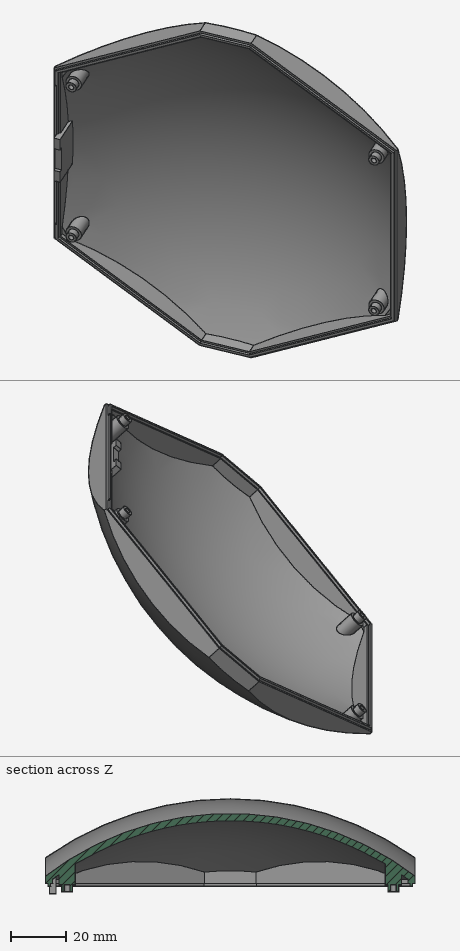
import cadquery as cq
import math

half_width = 66.7
half_height = 71.2

overall_depth = 34.3
dome_top = 31.6
dome_radius = 115.0
dome_thickness = 2.5
wall_thickness = 2.5
rim_y = 1.0
ledge_y = 2.5

lip_outer_inset = 0.9
lip_inner_inset = 1.9
lip_relief_inset = 1.3
lip_relief_half_length = 31.3

post_x = 58.8
post_z = 34.0
post_diameter = 6.0
pin_diameter = 4.0
pin_bore_diameter = 2.0
pin_tip_y = -2.0
post_shoulder_y = 0.5

tab_tip_y = dome_top - overall_depth
tab_notch_y = -1.4
tab_half_length = 9.7
notch_half_length = 4.92
tab_outer_inset = 1.4
tab_inner_inset = 3.8


def prism(inset, y_start, y_end):
    """Trimmed hexagon, inset from the outline, between two Y planes."""
    x = half_width - inset
    z = half_height - inset
    side_z = x * math.tan(math.radians(30))
    corner_z = x / math.cos(math.radians(30))
    trim_x = (corner_z - z) * math.tan(math.radians(60))
    points = [
        (x, -side_z), (x, side_z), (trim_x, z), (-trim_x, z),
        (-x, side_z), (-x, -side_z), (-trim_x, -z), (trim_x, -z),
    ]
    return cq.Workplane("XZ", origin=(0, y_start, 0)).polyline(points).close().extrude(y_start - y_end)


def dome_ball(offset):
    """Ball bounding the dome, shrunk by offset."""
    return cq.Workplane("XY").sphere(dome_radius - offset).translate((0, dome_top - dome_radius, 0))


def box(x_range, y_range, z_half):
    """Box between X and Y limits, centred on z = 0."""
    x_size = x_range[1] - x_range[0]
    y_size = y_range[1] - y_range[0]
    return (
        cq.Workplane("XY")
        .box(x_size, y_size, 2 * z_half, centered=(False, False, True))
        .translate((x_range[0], y_range[0], 0))
    )


def posts(diameter, y_start, y_end):
    """Four cylinders along Y at the post positions."""
    centres = [(x, z) for x in (-post_x, post_x) for z in (-post_z, post_z)]
    return (
        cq.Workplane("XZ", origin=(0, y_start, 0))
        .pushPoints(centres)
        .circle(diameter / 2)
        .extrude(y_start - y_end)
    )


def make_shell():
    outside = prism(0, rim_y, dome_top).intersect(dome_ball(0))
    cavity = prism(wall_thickness, ledge_y, dome_top).intersect(dome_ball(dome_thickness))
    mouth = prism(wall_thickness, rim_y, ledge_y)
    return outside.cut(mouth).cut(cavity)


def make_lip():
    lip = prism(lip_outer_inset, 0, rim_y).cut(prism(lip_inner_inset, 0, rim_y))
    relief = box((-half_width, -half_width + lip_relief_inset), (0, rim_y), lip_relief_half_length)
    return lip.cut(relief)


def make_tab():
    x_range = (-half_width + tab_outer_inset, -half_width + tab_inner_inset)
    tab = box(x_range, (tab_tip_y, dome_top), tab_half_length)
    notch = box(x_range, (tab_tip_y, tab_notch_y), notch_half_length)
    return tab.cut(notch).intersect(dome_ball(dome_thickness / 2))


def make_posts():
    stems = posts(post_diameter, post_shoulder_y, dome_top)
    pins = posts(pin_diameter, pin_tip_y, dome_top)
    return stems.union(pins).intersect(dome_ball(dome_thickness / 2))


pin_bores = posts(pin_bore_diameter, pin_tip_y, post_shoulder_y)
result = make_shell().union(make_lip()).union(make_tab()).union(make_posts()).cut(pin_bores)